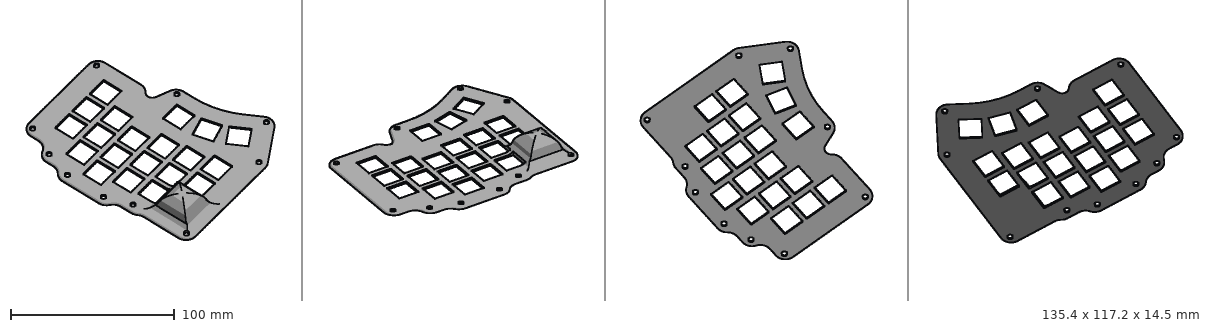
import cadquery as cq
import math


width = 135.4
height = 117.2
thickness = 1.5
rim_radius = 1.9
corner_radius = 7.5

left_top = 89.6
left_bottom = 16.0
thumb_top = 101.4
middle_left_bottom = 5.8
middle_right_bottom = 6.2
right_bottom = 8.5

left_step_start_x = 18.4
left_step_end_x = 22.0
bottom_left_start_x = 36.1
bottom_left_end_x = 40.7
bottom_right_start_x = 76.6
bottom_right_end_x = 81.1
right_step_start_x = 95.3
right_step_end_x = 99.1

inlet_left_x = 38.9
inlet_right_x = 54.0
inlet_bottom = (45.5, 80.8)
inlet_radius = 4.0

thumb_tilt = math.radians(30)
peak_x = 116.4
thumb_sweep_radius = 62.7

key_size = 14.0
first_column_x = 22.5
column_pitch = 18.0
row_pitch = 17.0
three_rows = (-1, 0, 1)
upper_rows = (0, 1)
key_columns = (
    (53.6, three_rows),
    (41.5, three_rows),
    (35.5, three_rows),
    (42.0, three_rows),
    (44.1, three_rows),
    (48.7, upper_rows),
)
thumb_keys = ((69.6, 83.1, 0), (89.6, 85.8, 15), (107.9, 93.7, 30))

screw_diameter = 3.4
screw_centers = (
    (5.0, 84.0), (5.0, 20.7), (25.5, 11.0), (44.4, 5.0), (72.4, 5.0), (90.4, 11.4),
    (130.2, 13.5), (130.2, 85.3), (114.3, 112.9), (57.5, 96.5),
)

dome_top = 14.5
dome_apex_x = 115.0
dome_apex_y = 28.3
dome_foot_offset_x = 17.2
dome_flare_offset_x = 12.9
dome_flare_height_x = 3.5
dome_spring_offset_x = 11.0
dome_spring_height = 6.6
dome_front_foot = (13.0, thickness)
dome_front_flare = (16.0, 2.7)
dome_front_spring = (17.9, 3.9)
dome_back_spring = (38.9, dome_spring_height)
dome_back_flare = (40.6, 3.4)
dome_back_foot = (45.2, thickness)


def rounded_outline(corners):
    """Closed polygon whose corners (x, y, radius) are replaced by tangent arcs."""
    arcs = []
    for i, (x, y, radius) in enumerate(corners):
        here = cq.Vector(x, y)
        back = (cq.Vector(*corners[i - 1][:2]) - here).normalized()
        ahead = (cq.Vector(*corners[(i + 1) % len(corners)][:2]) - here).normalized()
        half_angle = back.getAngle(ahead) / 2
        tangent = radius / math.tan(half_angle)
        to_middle = radius / math.sin(half_angle) - radius
        middle = here + (back + ahead).normalized() * to_middle
        arcs.append((here + back * tangent, middle, here + ahead * tangent))

    first = arcs[0][0]
    outline = cq.Workplane("XY").moveTo(first.x, first.y)
    for start, middle, end in arcs:
        if start is not first:
            outline = outline.lineTo(start.x, start.y)
        outline = outline.threePointArc((middle.x, middle.y), (end.x, end.y))
    return outline.close()


def plate_corners():
    """Corners (x, y, radius) of the plate, clockwise from the upper left."""
    peak_y = height + corner_radius * (math.sin(thumb_tilt) + math.cos(thumb_tilt) - 1)
    right_top = peak_y - (width - peak_x) / math.tan(thumb_tilt)
    sweep_x = peak_x - (peak_y - thumb_top) / math.tan(thumb_tilt)
    return [
        (0, left_top, corner_radius),
        (inlet_left_x, left_top, corner_radius),
        (*inlet_bottom, inlet_radius),
        (inlet_right_x, thumb_top, corner_radius),
        (sweep_x, thumb_top, thumb_sweep_radius),
        (peak_x, peak_y, corner_radius),
        (width, right_top, corner_radius),
        (width, right_bottom, corner_radius),
        (right_step_end_x, right_bottom, corner_radius),
        (right_step_start_x, middle_right_bottom, corner_radius),
        (bottom_right_end_x, middle_right_bottom, corner_radius),
        (bottom_right_start_x, 0, corner_radius),
        (bottom_left_end_x, 0, corner_radius),
        (bottom_left_start_x, middle_left_bottom, corner_radius),
        (left_step_end_x, middle_left_bottom, corner_radius),
        (left_step_start_x, left_bottom, corner_radius),
        (0, left_bottom, corner_radius),
    ]


def make_plate():
    overhang = rim_radius - math.sqrt(rim_radius**2 - (rim_radius - thickness) ** 2)
    depth = 2 * rim_radius
    outline = rounded_outline(plate_corners()).offset2D(overhang)
    slab = outline.extrude(depth).faces(">Z").edges().fillet(rim_radius)
    slab = slab.translate((0, 0, thickness - depth))
    above_underside = cq.Workplane("XY").box(width, height, thickness, centered=False)
    return slab.intersect(above_underside)


def dome_section(plane, left_foot, left_flare, left_spring, apex, right_spring, right_flare, right_foot):
    """Section through the dome, closed along the underside of the plate."""
    return (
        cq.Workplane(plane)
        .moveTo(left_foot[0], 0)
        .lineTo(*left_foot)
        .threePointArc(left_flare, left_spring)
        .threePointArc(apex, right_spring)
        .threePointArc(right_flare, right_foot)
        .lineTo(right_foot[0], 0)
        .close()
    )


def make_dome():
    """Two crossing arched prisms; their common volume has four faces that meet along hips."""
    across_x = dome_section(
        "XZ",
        (dome_apex_x - dome_foot_offset_x, thickness),
        (dome_apex_x - dome_flare_offset_x, dome_flare_height_x),
        (dome_apex_x - dome_spring_offset_x, dome_spring_height),
        (dome_apex_x, dome_top),
        (dome_apex_x + dome_spring_offset_x, dome_spring_height),
        (dome_apex_x + dome_flare_offset_x, dome_flare_height_x),
        (dome_apex_x + dome_foot_offset_x, thickness),
    ).extrude(-height)
    across_y = dome_section(
        "YZ",
        dome_front_foot,
        dome_front_flare,
        dome_front_spring,
        (dome_apex_y, dome_top),
        dome_back_spring,
        dome_back_flare,
        dome_back_foot,
    ).extrude(width)
    return across_x.intersect(across_y)


def key_opening(x, y, turn=0):
    opening = cq.Workplane("XY").rect(key_size, key_size).extrude(dome_top)
    return opening.rotate((0, 0, 0), (0, 0, 1), turn).translate((x, y, 0))


def make_key_openings():
    openings = [key_opening(x, y, turn) for x, y, turn in thumb_keys]
    for column, (reference_y, rows) in enumerate(key_columns):
        x = first_column_x + column * column_pitch
        openings += [key_opening(x, reference_y + row * row_pitch) for row in rows]
    return openings


def make_screw_holes():
    return cq.Workplane("XY").pushPoints(screw_centers).circle(screw_diameter / 2).extrude(dome_top)


result = make_plate().union(make_dome())
for opening in make_key_openings():
    result = result.cut(opening)
result = result.cut(make_screw_holes())